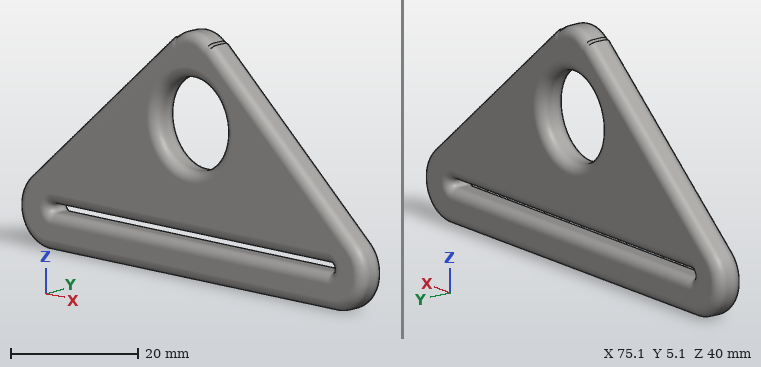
import cadquery as cq

length = 75.1
height = 40.0
thickness = 5.1
edge_fillet = 1.7

eye_diameter = 15.1
eye_height = 25.1

slot_width = 1.5
slot_center_span = 60.1
slot_height = 6.75

base_half_width = 31.5
side_foot_x = 35.2
side_foot_z = 11.3
base_corner_z = 6.4

side_top_x = 4.35
side_top_z = 38.45
cap_half_width = 3.7
cap_foot_z = 38.7


def make_plate():
    return (
        cq.Workplane("XZ")
        .moveTo(-base_half_width, 0)
        .lineTo(base_half_width, 0)
        .threePointArc((length / 2, base_corner_z), (side_foot_x, side_foot_z))
        .lineTo(side_top_x, side_top_z)
        .lineTo(cap_half_width, cap_foot_z)
        .threePointArc((0, height), (-cap_half_width, cap_foot_z))
        .lineTo(-side_top_x, side_top_z)
        .lineTo(-side_foot_x, side_foot_z)
        .threePointArc((-length / 2, base_corner_z), (-base_half_width, 0))
        .close()
        .extrude(thickness / 2, both=True)
    )


def make_eye():
    return (
        cq.Workplane("XZ")
        .center(0, eye_height)
        .circle(eye_diameter / 2)
        .extrude(thickness, both=True)
    )


def make_slot():
    return (
        cq.Workplane("XZ")
        .center(0, slot_height)
        .slot2D(slot_center_span + slot_width, slot_width)
        .extrude(thickness, both=True)
    )


pierced_plate = make_plate().cut(make_eye()).cut(make_slot())

result = pierced_plate.faces("<Y or >Y").edges().fillet(edge_fillet)